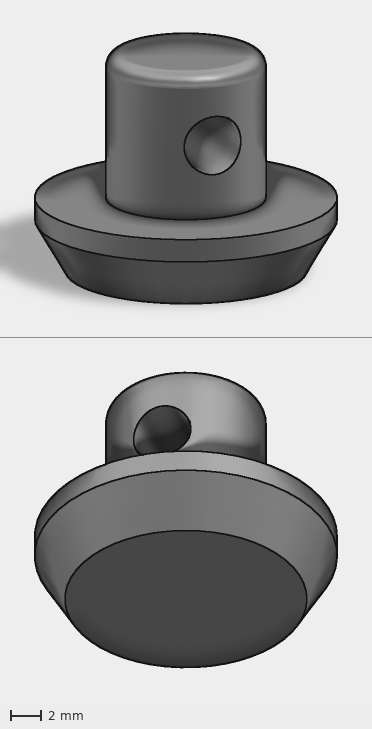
import cadquery as cq
import math

flange_diameter = 19.99
base_diameter = 16
base_height = 5
cone_angle = 60
cone_height = (flange_diameter - base_diameter) / 2 * math.tan(math.radians(cone_angle))

pin_diameter = 10.6
pin_height = 10
pin_edge_radius = 1

hole_diameter = 4
hole_height = base_height + pin_height / 2


def make_base():
    """Disc whose lower part tapers inward to the bottom face."""
    return (
        cq.Workplane("XZ")
        .lineTo(base_diameter / 2, 0)
        .lineTo(flange_diameter / 2, cone_height)
        .lineTo(flange_diameter / 2, base_height)
        .lineTo(0, base_height)
        .close()
        .revolve(360, (0, 0, 0), (0, 1, 0))
    )


def make_pin():
    """Cylinder with a rounded top edge, starting at the bottom face."""
    return (
        cq.Workplane("XY")
        .circle(pin_diameter / 2)
        .extrude(base_height + pin_height)
        .faces(">Z")
        .edges()
        .fillet(pin_edge_radius)
    )


def make_cross_hole():
    """Round cutter passing through the whole pin along X."""
    return (
        cq.Workplane("YZ")
        .center(0, hole_height)
        .circle(hole_diameter / 2)
        .extrude(pin_diameter, both=True)
    )


result = make_base().union(make_pin()).cut(make_cross_hole())